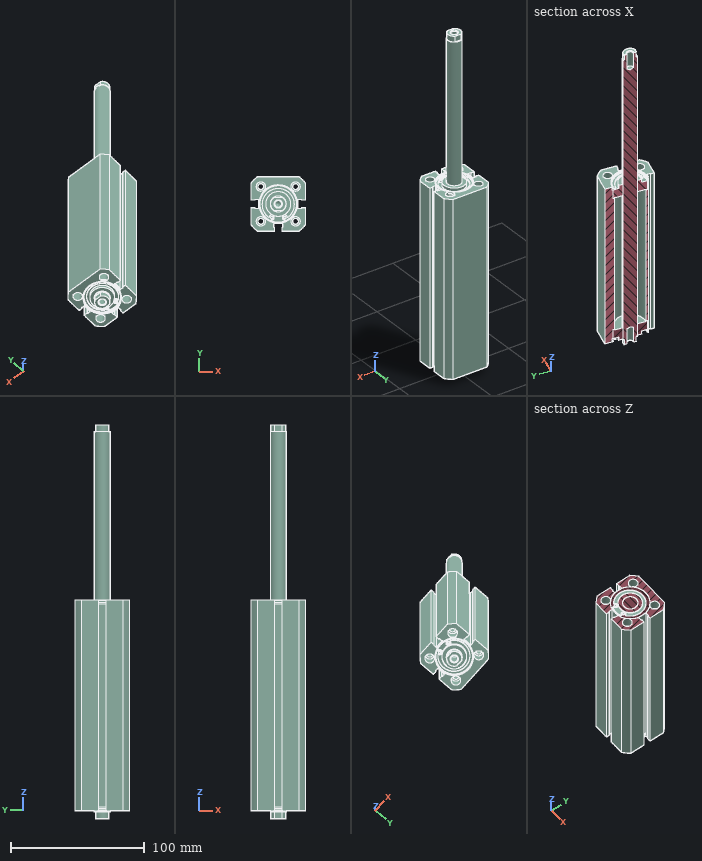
import cadquery as cq
import math

body_width = 41.0
body_length = 158.0
rod_below_body = 6.0
rod_above_body = 131.0

body_half = body_width / 2
corner_radius = 25.7

slot_mouth_width = 5.6
slot_channel_width = 6.6
slot_mouth_depth = 3.0
slot_floor_distance = 14.8
slot_angles = (180, 270, 0)

hole_pitch = 26.0
hole_diameter = 4.2
counterbore_diameter = 7.0
counterbore_depth = 12.0

bore_radius = 12.5
seat_radius = 13.7
mouth_radius = 14.4
mouth_depth = 0.5
cover_length = 12.0

ring_thickness = 1.2
ring_depth = 1.8
ring_inner_radius = 12.0
ring_inner_offset = 0.4
groove_radius = 14.6
ring_gap_width = 9.8
lug_radius = 1.9
lug_hole_diameter = 1.8
lug_distance = 10.2

boss_radius = 9.3
flange_depth = ring_depth + ring_thickness

rod_diameter = 12.0
neck_diameter = 11.5
neck_length = 5.0
flats_width = 10.0
thread_hole_diameter = 5.0
thread_hole_depth = 15.0
thread_countersink_diameter = 6.2
drill_point_angle = 118.0


def disc(radius, bottom, height):
    return cq.Workplane("XY").workplane(offset=bottom).circle(radius).extrude(height)


def mirror_to_top(lower):
    """Copy a part at the lower end of the body to the upper end."""
    return lower.mirror("XY", (0, 0, body_length / 2))


def on_both_ends(lower):
    return lower, mirror_to_top(lower)


def sensor_slot():
    """Slot cutter for the +X face."""
    depth = body_half - slot_floor_distance
    channel_depth = depth - slot_mouth_depth
    mouth = cq.Workplane("XY").box(
        depth, slot_mouth_width, body_length, centered=(False, True, False)
    )
    channel = cq.Workplane("XY").box(
        channel_depth, slot_channel_width, body_length, centered=(False, True, False)
    )
    return mouth.union(channel).translate((slot_floor_distance, 0, 0))


def make_body():
    body = cq.Workplane("XY").rect(body_width, body_width).extrude(body_length)
    body = body.intersect(disc(corner_radius, 0, body_length))

    for angle in slot_angles:
        body = body.cut(sensor_slot().rotate((0, 0, 0), (0, 0, 1), angle))

    holes = cq.Workplane("XY").rect(hole_pitch, hole_pitch, forConstruction=True).vertices()
    body = body.cut(holes.circle(hole_diameter / 2).extrude(body_length))
    counterbores = holes.circle(counterbore_diameter / 2).extrude(counterbore_depth)

    body = body.cut(disc(bore_radius, 0, body_length))
    seat = disc(seat_radius, 0, cover_length)
    mouth = disc(mouth_radius, 0, mouth_depth)
    groove = disc(groove_radius, ring_depth, ring_thickness)
    for end_cut in (counterbores, seat, mouth, groove):
        for cutter in on_both_ends(end_cut):
            body = body.cut(cutter)
    return body


def make_cover():
    """Lower end cover: a flange that fills the seat and a boss flush with the body end."""
    flange = disc(seat_radius, flange_depth, cover_length - flange_depth)
    boss = disc(boss_radius, 0, flange_depth)
    return flange.union(boss).cut(disc(rod_diameter / 2, 0, cover_length))


def make_ring():
    """Lower retaining ring, open toward -Y, with a plier lug at each end."""
    plane = cq.Workplane("XY").workplane(offset=ring_depth)
    ring = plane.circle(groove_radius).extrude(ring_thickness)
    inside = plane.center(0, -ring_inner_offset).circle(ring_inner_radius)
    ring = ring.cut(inside.extrude(ring_thickness))
    opening = plane.center(0, -groove_radius).rect(ring_gap_width, groove_radius)
    ring = ring.cut(opening.extrude(ring_thickness))

    lug_centres = [(side * ring_gap_width / 2, -lug_distance) for side in (-1, 1)]
    lugs = plane.pushPoints(lug_centres)
    ring = ring.union(lugs.circle(lug_radius).extrude(ring_thickness))
    return ring.cut(lugs.circle(lug_hole_diameter / 2).extrude(ring_thickness))


def thread_hole():
    """Revolved cutter for the countersunk blind hole in the rod's lower end."""
    radius = thread_hole_diameter / 2
    countersink_radius = thread_countersink_diameter / 2
    point_length = radius / math.tan(math.radians(drill_point_angle / 2))
    return (
        cq.Workplane("XZ")
        .moveTo(0, 0)
        .lineTo(countersink_radius, 0)
        .lineTo(radius, countersink_radius - radius)
        .lineTo(radius, thread_hole_depth)
        .lineTo(0, thread_hole_depth + point_length)
        .close()
        .revolve(360, (0, 0, 0), (0, 1, 0))
    )


def make_rod():
    """Through rod with a turned neck, two wrench flats and a threaded hole at each end."""
    length = rod_below_body + body_length + rod_above_body
    rod = disc(rod_diameter / 2, 0, length)

    neck = disc(neck_diameter / 2, 0, neck_length).intersect(
        cq.Workplane("XY").rect(neck_diameter, flats_width).extrude(neck_length)
    )
    neck_cut = disc(rod_diameter, 0, neck_length).cut(neck)
    for end_cut in (neck_cut, thread_hole()):
        rod = rod.cut(end_cut).cut(end_cut.mirror("XY", (0, 0, length / 2)))
    return rod.translate((0, 0, -rod_below_body))


body = make_body()
rod = make_rod()
covers = on_both_ends(make_cover())
rings = on_both_ends(make_ring())

result = cq.Compound.makeCompound(
    [
        body.val(),
        rod.val(),
        *[cover.val() for cover in covers],
        *[ring.val() for ring in rings],
    ]
)